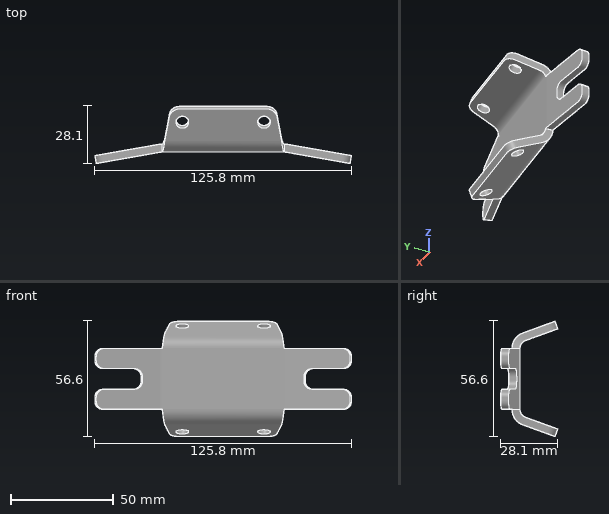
import cadquery as cq
import math

total_length = 125.8
total_height = 56.6
thickness = 4.0
plate_half_length = 30.1
plate_half_height = 15.0

wing_angle = 10.0
wing_bend_radius = 5.0
slot_width = 10.1
slot_depth = 23.0
fork_corner_radius = 4.0

flange_bend_angle = 70.0
flange_bend_radius = 8.0
flange_half_length = 30.0
flange_taper = 10.0
flange_corner_radius = 5.0
hole_diameter = 6.2
hole_spacing = 40.0
hole_edge_distance = 6.9

wing_turn = math.radians(wing_angle)
flange_turn = math.radians(flange_bend_angle)

flange_narrowing = math.tan(math.radians(flange_taper))
flange_bend_length = (flange_bend_radius - thickness / 2) * flange_turn
flange_bend_end_half_length = flange_half_length - flange_bend_length * flange_narrowing


def make_wing():
    """Right half of the plate with its forked wing."""
    bend_far_radius = wing_bend_radius + thickness
    bend_end_x = plate_half_length + bend_far_radius * math.sin(wing_turn)
    straight = (total_length / 2 - bend_end_x) / math.cos(wing_turn)

    def on_bend(radius, turn):
        x = plate_half_length + radius * math.sin(turn)
        return (x, radius * math.cos(turn) - wing_bend_radius)

    def on_tip(radius):
        x, y = on_bend(radius, wing_turn)
        return (x + straight * math.cos(wing_turn), y - straight * math.sin(wing_turn))

    strip = (
        cq.Workplane("XY")
        .lineTo(plate_half_length, 0)
        .threePointArc(on_bend(wing_bend_radius, wing_turn / 2), on_bend(wing_bend_radius, wing_turn))
        .lineTo(*on_tip(wing_bend_radius))
        .lineTo(*on_tip(bend_far_radius))
        .lineTo(*on_bend(bend_far_radius, wing_turn))
        .threePointArc(on_bend(bend_far_radius, wing_turn / 2), (plate_half_length, thickness))
        .lineTo(0, thickness)
        .close()
        .extrude(plate_half_height, both=True)
    )

    tip_x, tip_y = on_tip(wing_bend_radius)
    front_face = cq.Plane(
        origin=(tip_x, tip_y, 0),
        xDir=(math.cos(wing_turn), -math.sin(wing_turn), 0),
        normal=(-math.sin(wing_turn), -math.cos(wing_turn), 0),
    )
    slot = (
        cq.Workplane(front_face)
        .rect(2 * slot_depth, slot_width)
        .extrude(2 * thickness, both=True)
    )
    forked = strip.cut(slot)
    across_sheet = cq.Workplane(front_face).box(
        2 * slot_depth + thickness, 3 * plate_half_height, 4 * thickness
    )
    fork_edges = [
        edge
        for edge in forked.edges(cq.selectors.ParallelDirSelector(front_face.zDir)).vals()
        if across_sheet.val().isInside(edge.Center())
    ]
    return forked.newObject(fork_edges).fillet(fork_corner_radius)


def make_flange_bend():
    """Upper bend; each side narrows evenly with the bend angle, square to the sheet."""
    bend_section = cq.Plane(
        origin=(flange_bend_end_half_length, flange_bend_radius, plate_half_height),
        xDir=(0, 0, 1),
        normal=(1, 0, 0),
    )

    def on_arc(radius, turn):
        return (radius * math.sin(turn), radius * math.cos(turn))

    inner_radius = flange_bend_radius - thickness
    bend = (
        cq.Workplane(bend_section)
        .workplane(offset=-flange_bend_end_half_length)
        .moveTo(*on_arc(inner_radius, 0))
        .lineTo(*on_arc(flange_bend_radius, 0))
        .threePointArc(
            on_arc(flange_bend_radius, flange_turn / 2), on_arc(flange_bend_radius, flange_turn)
        )
        .lineTo(*on_arc(inner_radius, flange_turn))
        .threePointArc(on_arc(inner_radius, flange_turn / 2), on_arc(inner_radius, 0))
        .close()
        .extrude(flange_half_length, both=True)
    )

    reach = 3 * flange_bend_radius
    side_cut = (
        cq.Workplane(bend_section)
        .polyline([(0, 0), on_arc(reach, flange_turn), on_arc(reach, 2 * flange_turn)])
        .close()
        .twistExtrude(flange_half_length - flange_bend_end_half_length, flange_bend_angle)
    )
    return bend.cut(side_cut).cut(side_cut.mirror("YZ"))


def make_flange():
    """Upper tapered flange with rounded corners and two holes, joined to its bend."""
    rise = flange_bend_radius * math.sin(flange_turn)
    straight = (total_height / 2 - plate_half_height - rise) / math.cos(flange_turn)
    tip_half_length = flange_bend_end_half_length - straight * flange_narrowing

    bend_depth = flange_bend_radius * (1 - math.cos(flange_turn))
    outer_face = cq.Plane(
        origin=(0, bend_depth + straight * math.sin(flange_turn), total_height / 2),
        xDir=(1, 0, 0),
        normal=(0, -math.cos(flange_turn), math.sin(flange_turn)),
    )
    flat = (
        cq.Workplane(outer_face)
        .polyline([
            (-flange_bend_end_half_length, -straight),
            (flange_bend_end_half_length, -straight),
            (tip_half_length, 0),
            (-tip_half_length, 0),
        ])
        .close()
        .extrude(-thickness)
    )
    tip_face = flat.faces(cq.selectors.DirectionMinMaxSelector(outer_face.yDir))
    flat = tip_face.edges("<X or >X").fillet(flange_corner_radius)

    holes = (
        cq.Workplane(outer_face)
        .pushPoints([(x, -hole_edge_distance) for x in (-hole_spacing / 2, hole_spacing / 2)])
        .circle(hole_diameter / 2)
        .extrude(-thickness)
    )
    return flat.cut(holes).union(make_flange_bend())


plate = cq.Workplane("XY").box(
    2 * plate_half_length, thickness, 2 * plate_half_height, centered=(True, False, True)
)
wing = make_wing()
flange = make_flange()
result = (
    plate.union(wing)
    .union(wing.mirror("YZ"))
    .union(flange)
    .union(flange.mirror("XY"))
    .clean()
)